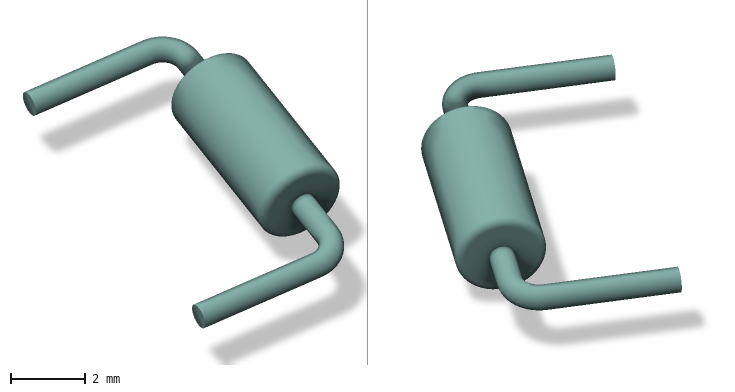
import cadquery as cq


overall_span = 9.7
wire_diameter = 0.7
bend_radius = 0.805
leg_reach = 4.5
leg_x = (overall_span - wire_diameter) / 2
bend_x = leg_x - bend_radius

case_length = 5.01
case_diameter = 2.5
case_edge_radius = 0.2
case_center_x = -0.12


def make_lead_wire():
    """Round wire swept along a U-shaped path with two rounded corners."""
    path = (
        cq.Workplane("XY")
        .moveTo(-leg_x, -leg_reach)
        .lineTo(-leg_x, -bend_radius)
        .tangentArcPoint((-bend_x, 0), relative=False)
        .lineTo(bend_x, 0)
        .tangentArcPoint((leg_x, -bend_radius), relative=False)
        .lineTo(leg_x, -leg_reach)
    )
    leg_end = cq.Plane(origin=(-leg_x, -leg_reach, 0), xDir=(1, 0, 0), normal=(0, 1, 0))
    return cq.Workplane(leg_end).circle(wire_diameter / 2).sweep(path)


def make_case():
    """Cylinder with rounded end edges and a through hole that fits the wire."""
    cylinder = (
        cq.Workplane("YZ", origin=(case_center_x - case_length / 2, 0, 0))
        .circle(case_diameter / 2)
        .extrude(case_length)
    )
    rounded = cylinder.edges("%CIRCLE").fillet(case_edge_radius)
    return rounded.faces(">X").workplane(origin=(0, 0, 0)).hole(wire_diameter)


lead_wire = make_lead_wire()
case = make_case()

result = cq.Compound.makeCompound([case.val(), lead_wire.val()])